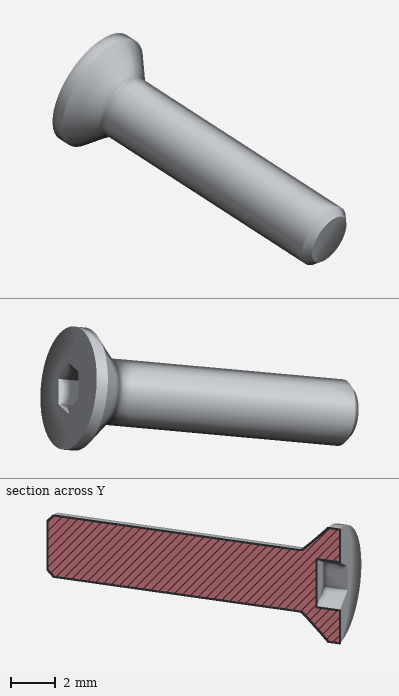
import cadquery as cq

total_length = 14.0
head_radius = 5.55 / 2
shank_radius = 3.0 / 2
rim_thickness = 0.56
tip_chamfer = 0.32
neck_fillet = 0.2
hex_across_flats = 2.0
hex_depth = 1.1

head_height = rim_thickness + head_radius - shank_radius


def make_body():
    """Revolve the half profile of head and shank about the X axis."""
    profile = [
        (0, 0),
        (0, head_radius),
        (rim_thickness, head_radius),
        (head_height, shank_radius),
        (total_length - tip_chamfer, shank_radius),
        (total_length, shank_radius - tip_chamfer),
        (total_length, 0),
    ]
    return cq.Workplane("XY").polyline(profile).close().revolve(360, (0, 0), (1, 0))


def round_neck(body):
    """Fillet the inside corner where the head cone meets the shank."""
    margin = 0.01
    neck_edge = cq.selectors.BoxSelector(
        (head_height - margin, -head_radius, -head_radius),
        (head_height + margin, head_radius, head_radius),
        boundingbox=True,
    )
    return body.edges(neck_edge).edges("%CIRCLE").fillet(neck_fillet)


def make_socket():
    """Hexagonal drive socket with two corners pointing along Z."""
    return cq.Workplane("YZ").polygon(6, hex_across_flats, circumscribed=True).extrude(hex_depth)


result = round_neck(make_body()).cut(make_socket())